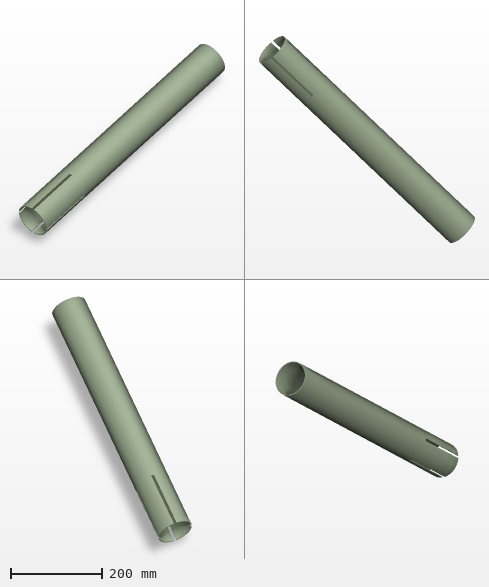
import cadquery as cq

OUTER_DIAMETER = 79.0
WALL_THICKNESS = 2.0
TUBE_LENGTH = 609.6

SLOT_COUNT = 4
SLOT_WIDTH = 6.35
SLOT_LENGTH = 130.0
SLOT_SPACING_ANGLE = 360 / SLOT_COUNT

OUTER_RADIUS = OUTER_DIAMETER / 2
INNER_RADIUS = OUTER_RADIUS - WALL_THICKNESS


def make_tube():
    """Plain round tube from Y = 0 to Y = TUBE_LENGTH."""
    profile = cq.Workplane("XZ").circle(OUTER_RADIUS).circle(INNER_RADIUS)
    return profile.extrude(-TUBE_LENGTH)


def make_slot_cutter(angle):
    """Square-ended slot through one side of the wall, turned about the tube axis."""
    cutter_height = OUTER_DIAMETER
    cutter = cq.Workplane("XY").box(
        SLOT_WIDTH, SLOT_LENGTH, cutter_height, centered=(True, False, False)
    )
    return cutter.rotate((0, 0, 0), (0, 1, 0), angle)


result = make_tube()
for slot_index in range(SLOT_COUNT):
    result = result.cut(make_slot_cutter(slot_index * SLOT_SPACING_ANGLE))